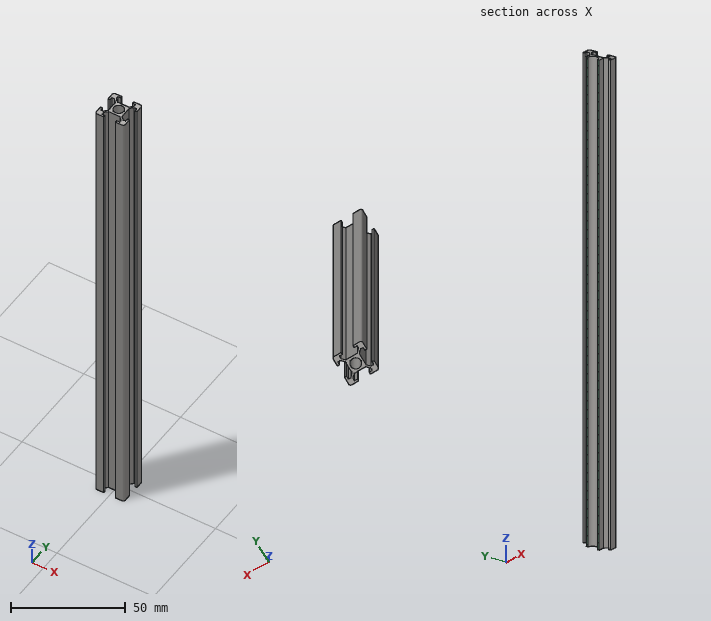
import cadquery as cq
import math

length = 230.0
side = 15.0
corner_radius = 1.04
slot_opening = 6.0
lip_thickness = 1.04
slot_inner_width = 9.0
core_side = 7.1
web_thickness = 1.0
bore_diameter = 5.0

half_side = side / 2
half_opening = slot_opening / 2
half_inner = slot_inner_width / 2
half_core = core_side / 2
lip_inner = half_side - lip_thickness
web_offset = web_thickness / math.sqrt(2)


def slot_cutter():
    """Slot on the +Y face: narrow mouth, wide cavity and sides sloping along the webs."""
    right_side = [
        (half_opening, half_side),
        (half_opening, lip_inner),
        (half_inner, lip_inner),
        (half_inner, half_inner + web_offset),
        (half_core - web_offset, half_core),
    ]
    left_side = [(-x, y) for x, y in reversed(right_side)]
    return cq.Workplane("XY").polyline(right_side + left_side).close().extrude(length)


def bar():
    """Solid square bar with rounded long edges."""
    blank = cq.Workplane("XY").rect(side, side).extrude(length)
    return blank.edges("|Z").fillet(corner_radius)


result = bar()
slot = slot_cutter()
for quarter_turn in range(4):
    result = result.cut(slot.rotate((0, 0, 0), (0, 0, 1), 90 * quarter_turn))

bore = cq.Workplane("XY").circle(bore_diameter / 2).extrude(length)
result = result.cut(bore)